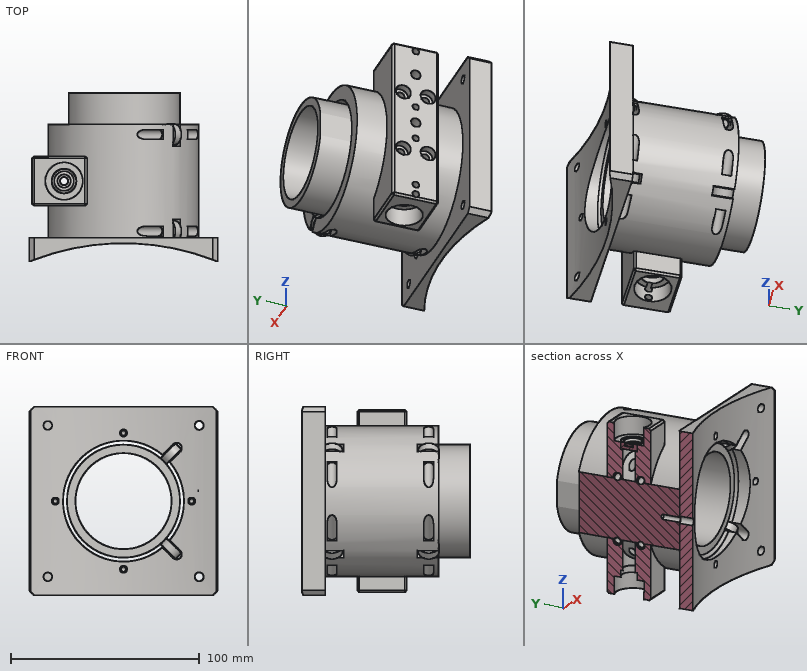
import cadquery as cq
import math


PLATE_SIDE = 100.0
PLATE_EDGE_DEPTH = 12.5
PLATE_MID_DEPTH = 3.0
PLATE_CORNER = 2.7
PLATE_RIM = 0.8
PLATE_HOLE_RADIUS = 2.3
PLATE_HOLE_OFFSET = 40.1

HOUSING_RADIUS = 40.0
BORE_RADIUS = 32.0
HOUSING_LENGTH = 60.0
JOINT_CIRCLE_RADIUS = 36.1
JOINT_CLEARANCE_RADIUS = 1.9
JOINT_TAP_RADIUS = 1.3
JOINT_TAP_DEPTH = 10.0
JOINT_TAP_TIP = 0.8

TUBE_RADIUS = 30.0
TUBE_BORE_RADIUS = 25.4
TUBE_FRONT = 1.4
TUBE_BACK = 76.7
TUBE_FLAT_HALF_WIDTH = 7.2

WHEEL_RADIUS = 5.6
WHEEL_WIDTH = 4.5
WHEEL_ANGLES = (45, -45)
WHEEL_STATIONS = (3.5, 54.7)
WHEEL_AXIS_RADIUS = TUBE_RADIUS + WHEEL_RADIUS
WHEEL_SLOT_WIDTH = 5.3
WHEEL_SLOT_LENGTH = 12.3
PLATE_SLOT_END_RADIUS = 42.5
AXLE_HOLE_DIAMETER = 5.2
AXLE_POCKET_START = 9.3

BLOCK_LEFT = -48.5
BLOCK_RIGHT = -19.3
BLOCK_WIDTH = 26.2
BLOCK_HEIGHT = 96.8
BLOCK_CHAMFER = 1.1
BLOCK_MID_Y = HOUSING_LENGTH / 2
SHAFT_X = -31.5
END_BORE_RADIUS = 9.9
END_BORE_DEPTH = 10.2
CYLINDER_RADIUS = 5.8
SEAT_RADIUS = 6.6
ROD_HOLE_RADIUS = 2.1
PORT_RADIUS = 2.7
PORT_HEIGHTS = (30.6, 0.0)
SIDE_HOLE_RADIUS = 1.9
SIDE_HOLE_HEIGHTS = (45.5, -39.6, -45.6)
DOWEL_RADIUS = 1.8
DOWEL_HEIGHT = 10.0
SCREW_OFFSET_Y = 7.0
SCREW_OFFSET_Z = 18.0
SCREW_CLEARANCE_RADIUS = 2.3
SCREW_HEAD_RADIUS = 4.2
SCREW_HEAD_DEPTH = 4.4
SCREW_TAP_RADIUS = 1.8

PLUNGER_HEIGHT = 4.0
PLUNGER_CHAMFER = 0.2
POCKET_RADIUS = 5.2
POCKET_DEPTH = 2.0
RING_INNER_RADIUS = 3.5

END_BORE_FLOOR = BLOCK_HEIGHT / 2 - END_BORE_DEPTH
SEAT_FLOOR = END_BORE_FLOOR - PLUNGER_HEIGHT
TUBE_FLAT_FRONT = BLOCK_MID_Y - BLOCK_WIDTH / 2


def rod(radius, start, direction, length):
    """Solid cylinder from a start point along a direction."""
    return cq.Workplane(cq.Solid.makeCylinder(radius, length, cq.Vector(*start), cq.Vector(*direction)))


def y_rod(radius, y_start, y_end, x=0.0, z=0.0):
    return rod(radius, (x, y_start, z), (0, 1, 0), y_end - y_start)


def shaft(radius, z_start, z_end):
    """Vertical cylinder on the axis of the block's bores."""
    return rod(radius, (SHAFT_X, BLOCK_MID_Y, z_start), (0, 0, 1), z_end - z_start)


def side_drill(radius, y, z, x_end):
    """Cylinder drilled along +X from the outer face of the block."""
    return rod(radius, (BLOCK_LEFT, y, z), (1, 0, 0), x_end - BLOCK_LEFT)


def box_between(x_range, y_range, z_range):
    size = [high - low for low, high in (x_range, y_range, z_range)]
    corner = cq.Vector(x_range[0], y_range[0], z_range[0])
    return cq.Workplane(cq.Solid.makeBox(*size, corner))


def turned(shape, angle):
    """Turn a shape built around the +X radius up by an angle about the Y axis."""
    return shape.rotate((0, 0, 0), (0, 1, 0), -angle)


def joint_places():
    for index in range(4):
        angle = index * math.pi / 2
        yield JOINT_CIRCLE_RADIUS * math.cos(angle), JOINT_CIRCLE_RADIUS * math.sin(angle)


def screw_places():
    for y_side in (-1, 1):
        for z_side in (-1, 1):
            yield BLOCK_MID_Y + y_side * SCREW_OFFSET_Y, z_side * SCREW_OFFSET_Z


def make_plate():
    half = PLATE_SIDE / 2
    profile = (
        cq.Workplane("XY", origin=(0, 0, -half))
        .moveTo(-half, 0)
        .lineTo(-half, -PLATE_EDGE_DEPTH)
        .lineTo(PLATE_RIM - half, -PLATE_EDGE_DEPTH)
        .threePointArc((0, -PLATE_MID_DEPTH), (half - PLATE_RIM, -PLATE_EDGE_DEPTH))
        .lineTo(half, -PLATE_EDGE_DEPTH)
        .lineTo(half, 0)
        .close()
    )
    outline = (
        cq.Workplane("XZ")
        .rect(PLATE_SIDE, PLATE_SIDE)
        .extrude(PLATE_EDGE_DEPTH)
        .edges("|Y")
        .chamfer(PLATE_CORNER)
    )
    plate = profile.extrude(PLATE_SIDE).intersect(outline)
    plate = plate.cut(y_rod(BORE_RADIUS, -PLATE_EDGE_DEPTH, 0))
    for x in (-PLATE_HOLE_OFFSET, PLATE_HOLE_OFFSET):
        for z in (-PLATE_HOLE_OFFSET, PLATE_HOLE_OFFSET):
            plate = plate.cut(y_rod(PLATE_HOLE_RADIUS, -PLATE_EDGE_DEPTH, 0, x, z))
    for x, z in joint_places():
        plate = plate.cut(y_rod(JOINT_CLEARANCE_RADIUS, -PLATE_EDGE_DEPTH, 0, x, z))
    for angle in WHEEL_ANGLES:
        plate = plate.cut(turned(plate_slot(), angle))
    return plate


def plate_slot():
    """Round-ended radial slot through the plate, open to the bore."""
    end_radius = WHEEL_SLOT_WIDTH / 2
    end_center = PLATE_SLOT_END_RADIUS - end_radius
    channel = box_between((TUBE_RADIUS, end_center), (-PLATE_EDGE_DEPTH, 0), (-end_radius, end_radius))
    return channel.union(y_rod(end_radius, -PLATE_EDGE_DEPTH, 0, end_center))


def wheel_cutter(station):
    """Radial wheel slot with its tangential axle hole and the two axle pockets."""
    outside = HOUSING_RADIUS + WHEEL_RADIUS
    half_slot = WHEEL_SLOT_WIDTH / 2
    half_length = WHEEL_SLOT_LENGTH / 2
    axle_radius = AXLE_HOLE_DIAMETER / 2
    axle_span = (station - axle_radius, station + axle_radius)
    cutter = box_between(
        (TUBE_RADIUS, outside), (station - half_length, station + half_length), (-half_slot, half_slot)
    )
    axle_start = (WHEEL_AXIS_RADIUS, station, -HOUSING_RADIUS)
    cutter = cutter.union(rod(axle_radius, axle_start, (0, 0, 1), 2 * HOUSING_RADIUS))
    pocket = box_between((WHEEL_AXIS_RADIUS, outside), axle_span, (AXLE_POCKET_START, HOUSING_RADIUS))
    return cutter.union(pocket).union(pocket.mirror("XY"))


def make_housing():
    housing = y_rod(HOUSING_RADIUS, 0, HOUSING_LENGTH).cut(y_rod(BORE_RADIUS, 0, HOUSING_LENGTH))
    for angle in WHEEL_ANGLES:
        for station in WHEEL_STATIONS:
            housing = housing.cut(turned(wheel_cutter(station), angle))
    for x, z in joint_places():
        housing = housing.cut(y_rod(JOINT_TAP_RADIUS, 0, JOINT_TAP_DEPTH, x, z))
        tip = cq.Solid.makeCone(
            JOINT_TAP_RADIUS, 0, JOINT_TAP_TIP, cq.Vector(x, JOINT_TAP_DEPTH, z), cq.Vector(0, 1, 0)
        )
        housing = housing.cut(cq.Workplane(tip))
    for y, z in screw_places():
        housing = housing.cut(side_drill(SCREW_TAP_RADIUS, y, z, BLOCK_RIGHT))
    return housing.cut(shaft(ROD_HOLE_RADIUS, -HOUSING_RADIUS, HOUSING_RADIUS))


def make_tube():
    tube = y_rod(TUBE_RADIUS, TUBE_FRONT, TUBE_BACK)
    flat_x = -math.sqrt(TUBE_RADIUS**2 - TUBE_FLAT_HALF_WIDTH**2)
    flat_span = (-TUBE_FLAT_HALF_WIDTH, TUBE_FLAT_HALF_WIDTH)
    tube = tube.cut(box_between((-TUBE_RADIUS, flat_x), (TUBE_FLAT_FRONT, TUBE_BACK), flat_span))
    return tube.cut(y_rod(TUBE_BORE_RADIUS, TUBE_FRONT, TUBE_BACK))


def make_wheel(angle, station):
    wheel = rod(WHEEL_RADIUS, (WHEEL_AXIS_RADIUS, station, -WHEEL_WIDTH / 2), (0, 0, 1), WHEEL_WIDTH)
    return turned(wheel, angle)


def make_block():
    top = BLOCK_HEIGHT / 2
    half_width = BLOCK_WIDTH / 2
    block = box_between(
        (BLOCK_LEFT, BLOCK_RIGHT), (BLOCK_MID_Y - half_width, BLOCK_MID_Y + half_width), (-top, top)
    ).edges().chamfer(BLOCK_CHAMFER)
    block = block.cut(y_rod(HOUSING_RADIUS, 0, HOUSING_LENGTH))
    block = block.cut(shaft(END_BORE_RADIUS, END_BORE_FLOOR, top))
    block = block.cut(shaft(END_BORE_RADIUS, -top, -END_BORE_FLOOR))
    block = block.cut(shaft(SEAT_RADIUS, SEAT_FLOOR, END_BORE_FLOOR))
    block = block.cut(shaft(SEAT_RADIUS, -END_BORE_FLOOR, -SEAT_FLOOR))
    block = block.cut(shaft(CYLINDER_RADIUS, -SEAT_FLOOR, SEAT_FLOOR))
    for z in PORT_HEIGHTS:
        block = block.cut(side_drill(PORT_RADIUS, BLOCK_MID_Y, z, SHAFT_X))
    for z in SIDE_HOLE_HEIGHTS:
        block = block.cut(side_drill(SIDE_HOLE_RADIUS, BLOCK_MID_Y, z, SHAFT_X))
    for z in (-DOWEL_HEIGHT, DOWEL_HEIGHT):
        block = block.cut(side_drill(DOWEL_RADIUS, BLOCK_MID_Y, z, SHAFT_X))
    for y, z in screw_places():
        block = block.cut(side_drill(SCREW_CLEARANCE_RADIUS, y, z, SHAFT_X))
        block = block.cut(side_drill(SCREW_HEAD_RADIUS, y, z, BLOCK_LEFT + SCREW_HEAD_DEPTH))
    return block


def make_plunger():
    plunger = shaft(SEAT_RADIUS, SEAT_FLOOR, END_BORE_FLOOR).faces(">Z").chamfer(PLUNGER_CHAMFER)
    plunger = plunger.cut(shaft(POCKET_RADIUS, END_BORE_FLOOR - POCKET_DEPTH, END_BORE_FLOOR))
    return plunger.cut(shaft(ROD_HOLE_RADIUS, SEAT_FLOOR, END_BORE_FLOOR))


def make_ring():
    """Round-section ring that rests on the pocket floor and fits the pocket wall."""
    section_radius = (POCKET_RADIUS - RING_INNER_RADIUS) / 2
    center = cq.Vector(SHAFT_X, BLOCK_MID_Y, END_BORE_FLOOR - POCKET_DEPTH + section_radius)
    return cq.Workplane(cq.Solid.makeTorus(POCKET_RADIUS - section_radius, section_radius, center))


plate = make_plate()
housing = make_housing()
tube = make_tube()
block = make_block()
plunger = make_plunger()
ring = make_ring()
wheels = [make_wheel(angle, station).val() for angle in WHEEL_ANGLES for station in WHEEL_STATIONS]

single_bodies = [body.solids().val() for body in (plate, housing, tube, block, plunger, ring)]

result = cq.Compound.makeCompound([*single_bodies, *wheels])